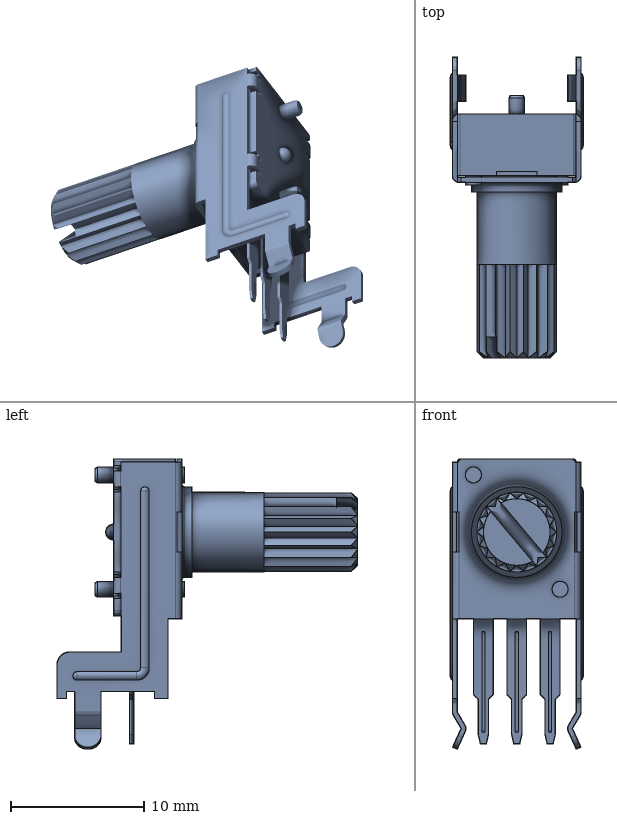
import cadquery as cq
import math


SHEET = 0.38
BEND_OUTER = 0.5
BEND_INNER = BEND_OUTER - SHEET

HALF_WIDTH = 4.84
INNER_HALF_WIDTH = HALF_WIDTH - SHEET
BODY_TOP = 5.5
SIDE_TOP = 5.25
PLATE_BOTTOM = -6.5
SIDE_BACK = 4.57
PLATE_CORNER_CHAMFER = 0.25
FLAT_HALF_WIDTH = HALF_WIDTH - BEND_OUTER
COLLAR_DIA = 6.8
COLLAR_LENGTH = 0.75
COLLAR_FILLET = 0.2
WINDOW_LENGTH = 3.0
WINDOW_FLOOR_HALF_WIDTH = 4.55

LEG_FRONT = 1.05
LEG_BACK = 9.4
LEG_TOP = -9.0
LEG_BOTTOM = -12.5
LEG_CORNER_RADIUS = 1.0
FOOT_NOTCH_TOP = -11.98
FRONT_FOOT_BACK = 2.08
BACK_FOOT_FRONT = 8.65

CLIP_FRONT = 6.08
CLIP_WIDTH = 2.0
CLIP_BEND_Z = -13.58
CLIP_KNEE_Z = -14.74
CLIP_KNEE_INSET = 0.68
CLIP_TIP_Z = -16.23
CLIP_TIP_RADIUS = 0.97

BEAD_RADIUS = 0.4
BEAD_HEIGHT = 0.15
BEAD_Y = 2.78
BEAD_TOP = 3.07
BEAD_BOTTOM = -10.8
BEAD_BACK = 7.86
BEAD_BEND_RADIUS = 0.63

TAB_Z = 4.0
TAB_WIDTH = 1.2
TAB_LENGTH = 1.2
TAB_MOUTH_WIDTH = 2.01
TAB_MOUTH_LENGTH = 0.4
TAB_SEAT_WIDTH = (TAB_MOUTH_WIDTH + TAB_WIDTH) / 2

HOUSING_FRONT = BEND_OUTER
HOUSING_BACK = 5.13
HOUSING_BOTTOM = -6.3
HOUSING_TOP_RADIUS = 0.2
HOUSING_BOTTOM_RADIUS = 0.4
PEG_DIA = 1.2
PEG_Z = 4.3
PEG_LENGTH = 1.4
PEG_CHAMFER = 0.2
PEG_CHAMFER_INSET = 0.11
BOSS_X = 3.25
BOSS_HEIGHT = 0.2
TOP_POCKET_BACK = 0.81
TOP_POCKET_DEPTH = 0.5

SHAFT_DIA = 6.0
SHAFT_RADIUS = SHAFT_DIA / 2
SHAFT_TIP = -13.2
TIP_CHAMFER = 0.5
SPLINE_START = -6.17
SPLINE_TEETH = 18
SPLINE_ROOT_RADIUS = SHAFT_RADIUS - TIP_CHAMFER
SLOT_WIDTH = 1.0
SLOT_DEPTH = 1.58
SLOT_ANGLE = 50

TERMINAL_PITCH = 2.5
TERMINAL_FRONT = 3.75
TERMINAL_STAGGER = 0.14
TERMINAL_THICKNESS = 0.2
TERMINAL_WIDTH = 1.5
TERMINAL_NECK_WIDTH = 0.8
TERMINAL_TIP_WIDTH = 0.45
TERMINAL_SHOULDER_Z = -12.2
TERMINAL_TAPER_Z = -15.19
TERMINAL_TIP_Z = -15.9
TERMINAL_EMBED = 1.0
GROOVE_RADIUS = 0.14
GROOVE_DEPTH = 0.07
GROOVE_TOP = -7.57
GROOVE_BOTTOM = -14.92


def box_between(x_range, y_range, z_range):
    """Axis-aligned box given by its limits along X, Y and Z."""
    (x0, x1), (y0, y1), (z0, z1) = x_range, y_range, z_range
    return cq.Workplane("XY").box(x1 - x0, y1 - y0, z1 - z0, centered=False).translate((x0, y0, z0))


def rod_y(diameter, y0, y1, x=0, z=0):
    """Round rod along Y from y0 (front) to y1 (back)."""
    return cq.Workplane("XZ", origin=(0, y1, 0)).center(x, z).circle(diameter / 2).extrude(y1 - y0)


def make_shaft():
    """Plain rod with a splined, chamfered and slotted front end."""
    plain = rod_y(SHAFT_DIA, SPLINE_START, HOUSING_FRONT)
    tooth_angle = 2 * math.pi / SPLINE_TEETH
    outline = []
    for tooth in range(SPLINE_TEETH):
        crest = tooth * tooth_angle
        root = crest + tooth_angle / 2
        outline.append((SHAFT_RADIUS * math.cos(crest), SHAFT_RADIUS * math.sin(crest)))
        outline.append((SPLINE_ROOT_RADIUS * math.cos(root), SPLINE_ROOT_RADIUS * math.sin(root)))
    spline_plane = cq.Workplane("XZ", origin=(0, SPLINE_START, 0))
    spline = spline_plane.polyline(outline).close().extrude(SPLINE_START - SHAFT_TIP)
    chamfered_rod = rod_y(SHAFT_DIA, SHAFT_TIP, SPLINE_START).faces("<Y").chamfer(TIP_CHAMFER)
    slot = box_between(
        (-SHAFT_DIA, SHAFT_DIA),
        (SHAFT_TIP, SHAFT_TIP + SLOT_DEPTH),
        (-SLOT_WIDTH / 2, SLOT_WIDTH / 2),
    ).rotate((0, 0, 0), (0, 1, 0), SLOT_ANGLE)
    return plain.union(spline.intersect(chamfered_rod)).cut(slot)


def terminal_blade(x, front):
    """Stepped flat blade with a tapered tip, without its groove."""
    wide, neck, tip = TERMINAL_WIDTH / 2, TERMINAL_NECK_WIDTH / 2, TERMINAL_TIP_WIDTH / 2
    right_half = [
        (wide, HOUSING_BOTTOM + TERMINAL_EMBED),
        (wide, TERMINAL_SHOULDER_Z),
        (neck, TERMINAL_SHOULDER_Z - (wide - neck)),
        (neck, TERMINAL_TAPER_Z),
        (tip, TERMINAL_TIP_Z),
    ]
    left_half = [(-half, z) for half, z in reversed(right_half)]
    plane = cq.Workplane("XZ", origin=(x, front + TERMINAL_THICKNESS, 0))
    return plane.polyline(right_half + left_half).close().extrude(TERMINAL_THICKNESS)


def make_terminal(x, front):
    """Blade with a shallow round-bottomed groove along its front face."""
    axis_y = front + GROOVE_DEPTH - GROOVE_RADIUS
    groove = (
        cq.Workplane("XY", origin=(x, axis_y, GROOVE_BOTTOM))
        .circle(GROOVE_RADIUS)
        .extrude(GROOVE_TOP - GROOVE_BOTTOM)
    )
    for z in (GROOVE_BOTTOM, GROOVE_TOP):
        groove = groove.union(cq.Workplane("XY").sphere(GROOVE_RADIUS).translate((x, axis_y, z)))
    return terminal_blade(x, front).cut(groove)


def tab_recess(side, z):
    """Stepped recess for one tab: wide and deep around the bend, narrower and shallower inwards."""
    step_x = INNER_HALF_WIDTH - TAB_MOUTH_LENGTH
    mouth = box_between(
        sorted((side * step_x, side * HALF_WIDTH)),
        (HOUSING_BACK - BEND_OUTER, HOUSING_BACK),
        (z - TAB_MOUTH_WIDTH / 2, z + TAB_MOUTH_WIDTH / 2),
    )
    seat = box_between(
        sorted((side * (HALF_WIDTH - TAB_LENGTH), side * step_x)),
        (HOUSING_BACK - SHEET, HOUSING_BACK),
        (z - TAB_SEAT_WIDTH / 2, z + TAB_SEAT_WIDTH / 2),
    )
    return mouth.union(seat)


def make_housing(terminal_places):
    """Block inside the bracket with its bosses, pegs, dome, tab recesses and terminal slots."""
    body = box_between(
        (-INNER_HALF_WIDTH, INNER_HALF_WIDTH),
        (HOUSING_FRONT, HOUSING_BACK),
        (HOUSING_BOTTOM, BODY_TOP),
    )
    body = body.edges("|Y and >Z").fillet(HOUSING_TOP_RADIUS)
    body = body.edges("|Y and <Z").fillet(HOUSING_BOTTOM_RADIUS)

    top_pocket = box_between(
        (-WINDOW_LENGTH / 2, WINDOW_LENGTH / 2),
        (HOUSING_FRONT, TOP_POCKET_BACK),
        (BODY_TOP - TOP_POCKET_DEPTH, BODY_TOP),
    )
    body = body.cut(top_pocket)

    for side in (-1, 1):
        for z in (-TAB_Z, TAB_Z):
            body = body.cut(tab_recess(side, z))

    for side in (-1, 1):
        body = body.union(rod_y(PEG_DIA, -BOSS_HEIGHT, HOUSING_FRONT, x=side * BOSS_X, z=-side * PEG_Z))
        peg = rod_y(PEG_DIA, HOUSING_BACK, HOUSING_BACK + PEG_LENGTH, z=side * PEG_Z)
        body = body.union(peg.faces(">Y").chamfer(PEG_CHAMFER, PEG_CHAMFER_INSET))
    dome = cq.Workplane("XY").sphere(PEG_DIA / 2).translate((0, HOUSING_BACK, 0))
    body = body.union(dome)

    for x, front in terminal_places:
        body = body.cut(terminal_blade(x, front))
    return body


def front_channel():
    """Front plate bent back into the upper part of both side plates."""
    outer = box_between((-HALF_WIDTH, HALF_WIDTH), (0, SIDE_BACK), (PLATE_BOTTOM, SIDE_TOP))
    inner = box_between((-INNER_HALF_WIDTH, INNER_HALF_WIDTH), (SHEET, SIDE_BACK), (PLATE_BOTTOM, SIDE_TOP))
    outer = outer.edges("|Z and <Y").fillet(BEND_OUTER)
    inner = inner.edges("|Z and <Y").fillet(BEND_INNER)
    top_strip = box_between((-INNER_HALF_WIDTH, INNER_HALF_WIDTH), (0, SHEET), (0, BODY_TOP))
    top_strip = top_strip.edges("|Y and >Z").chamfer(PLATE_CORNER_CHAMFER)
    return outer.cut(inner).union(top_strip)


def bend_window():
    """Notch with one sloped wall that takes away the outside of the right-hand bend."""
    outline = [
        (FLAT_HALF_WIDTH, 0),
        (HALF_WIDTH, 0),
        (HALF_WIDTH, SHEET),
        (WINDOW_FLOOR_HALF_WIDTH, SHEET),
    ]
    plane = cq.Workplane("XY", origin=(0, 0, -WINDOW_LENGTH / 2))
    return plane.polyline(outline).close().extrude(WINDOW_LENGTH)


def leg():
    """Lower part of the right-hand side plate, reaching backwards with two feet."""
    outline = [
        (LEG_FRONT, 0),
        (LEG_FRONT, LEG_BOTTOM),
        (FRONT_FOOT_BACK, LEG_BOTTOM),
        (FRONT_FOOT_BACK, FOOT_NOTCH_TOP),
        (BACK_FOOT_FRONT, FOOT_NOTCH_TOP),
        (BACK_FOOT_FRONT, LEG_BOTTOM),
        (LEG_BACK, LEG_BOTTOM),
        (LEG_BACK, LEG_TOP),
        (SIDE_BACK, LEG_TOP),
        (SIDE_BACK, 0),
    ]
    plate = cq.Workplane("YZ", origin=(INNER_HALF_WIDTH, 0, 0)).polyline(outline).close().extrude(SHEET)
    return plate.edges("|X").edges(">Y").edges(">Z").fillet(LEG_CORNER_RADIUS)


def clip():
    """Right-hand snap clip: a strip kinked inwards, then outwards to a round tip."""
    half = SHEET / 2
    plate_x = HALF_WIDTH - half
    knee_x = plate_x - CLIP_KNEE_INSET
    upper_angle = math.atan2(CLIP_KNEE_INSET, CLIP_BEND_Z - CLIP_KNEE_Z)
    lower_angle = math.atan2(CLIP_KNEE_INSET, CLIP_KNEE_Z - CLIP_TIP_Z)
    bisector_tilt = (lower_angle - upper_angle) / 2
    upper_reach = half / math.cos(upper_angle / 2)
    knee_reach = half / math.cos((upper_angle + lower_angle) / 2)
    joints = [
        (plate_x, FOOT_NOTCH_TOP, 0, half),
        (plate_x, CLIP_BEND_Z, -upper_angle / 2, upper_reach),
        (knee_x, CLIP_KNEE_Z, bisector_tilt, knee_reach),
        (plate_x, CLIP_TIP_Z, lower_angle, half),
    ]
    outer = [(x + reach * math.cos(tilt), z + reach * math.sin(tilt)) for x, z, tilt, reach in joints]
    inner = [(x - reach * math.cos(tilt), z - reach * math.sin(tilt)) for x, z, tilt, reach in joints]
    plane = cq.Workplane("XZ", origin=(0, CLIP_FRONT + CLIP_WIDTH, 0))
    strip = plane.polyline(outer + inner[::-1]).close().extrude(CLIP_WIDTH)
    middle_y = CLIP_FRONT + CLIP_WIDTH / 2
    for x, z in (outer[1], inner[2]):
        bend_edge = cq.selectors.NearestToPointSelector((x, middle_y, z))
        strip = strip.edges("|Y").edges(bend_edge).fillet(BEND_OUTER)
    return strip.faces("<Z").edges("#Y").fillet(CLIP_TIP_RADIUS)


def bead_rod():
    """L-shaped round rod with ball ends whose crown stands BEAD_HEIGHT outside the right-hand plate."""
    centre_x = HALF_WIDTH + BEAD_HEIGHT - BEAD_RADIUS
    bend_y = BEAD_Y + BEAD_BEND_RADIUS
    bend_z = BEAD_BOTTOM + BEAD_BEND_RADIUS
    arc_shift = BEAD_BEND_RADIUS * math.cos(math.pi / 4)
    path = (
        cq.Workplane("YZ", origin=(centre_x, 0, 0))
        .moveTo(BEAD_Y, BEAD_TOP)
        .lineTo(BEAD_Y, bend_z)
        .threePointArc((bend_y - arc_shift, bend_z - arc_shift), (bend_y, BEAD_BOTTOM))
        .lineTo(BEAD_BACK, BEAD_BOTTOM)
    )
    rod = cq.Workplane("XY", origin=(centre_x, BEAD_Y, BEAD_TOP)).circle(BEAD_RADIUS).sweep(path)
    for y, z in ((BEAD_Y, BEAD_TOP), (BEAD_BACK, BEAD_BOTTOM)):
        rod = rod.union(cq.Workplane("XY").sphere(BEAD_RADIUS).translate((centre_x, y, z)))
    return rod


def tab(z):
    """Right-hand tab folded behind the housing."""
    z_range = (z - TAB_WIDTH / 2, z + TAB_WIDTH / 2)
    inner_y = HOUSING_BACK - SHEET
    bend_front = HOUSING_BACK - BEND_OUTER
    outer = box_between((HALF_WIDTH - TAB_LENGTH, HALF_WIDTH), (bend_front - SHEET, HOUSING_BACK), z_range)
    inner = box_between((0, INNER_HALF_WIDTH), (0, inner_y), z_range)
    outer = outer.edges("|Z and >X and >Y").fillet(BEND_OUTER)
    inner = inner.edges("|Z and >X and >Y").fillet(BEND_INNER)
    return outer.cut(inner)


def side_parts():
    """Leg, clip and tabs of the right-hand side plate."""
    side = leg().union(clip())
    for z in (-TAB_Z, TAB_Z):
        side = side.union(tab(z))
    return side


def make_bracket():
    """Sheet-metal bracket, symmetric about the YZ plane, with the shaft collar on its front plate."""
    bracket = front_channel()
    right = side_parts()
    window = bend_window()
    rod = bead_rod()
    middle_of_sheet = HALF_WIDTH - SHEET / 2
    crown = rod.cut(box_between((0, middle_of_sheet), (0, LEG_BACK), (LEG_BOTTOM, BODY_TOP)))
    dent = rod.translate((-SHEET, 0, 0))
    bracket = bracket.union(right).union(right.mirror("YZ"))
    bracket = bracket.union(crown).union(crown.mirror("YZ"))
    for cutter in (window, dent):
        bracket = bracket.cut(cutter).cut(cutter.mirror("YZ"))

    bracket = bracket.union(rod_y(COLLAR_DIA, -COLLAR_LENGTH, SHEET))
    root_edge = cq.selectors.NearestToPointSelector((0, 0, COLLAR_DIA / 2))
    bracket = bracket.edges("%CIRCLE").edges(root_edge).fillet(COLLAR_FILLET)

    bracket = bracket.cut(rod_y(SHAFT_DIA, -COLLAR_LENGTH, SHEET))
    for side in (-1, 1):
        bracket = bracket.cut(rod_y(PEG_DIA, 0, SHEET, x=side * BOSS_X, z=-side * PEG_Z))
    return bracket


terminal_places = [
    (-TERMINAL_PITCH, TERMINAL_FRONT),
    (0, TERMINAL_FRONT - TERMINAL_STAGGER),
    (TERMINAL_PITCH, TERMINAL_FRONT),
]

shaft = make_shaft()
bracket = make_bracket()
housing = make_housing(terminal_places)
terminals = [make_terminal(x, front) for x, front in terminal_places]

result = cq.Compound.makeCompound(
    [shaft.val(), bracket.val(), housing.val(), *[terminal.val() for terminal in terminals]]
)